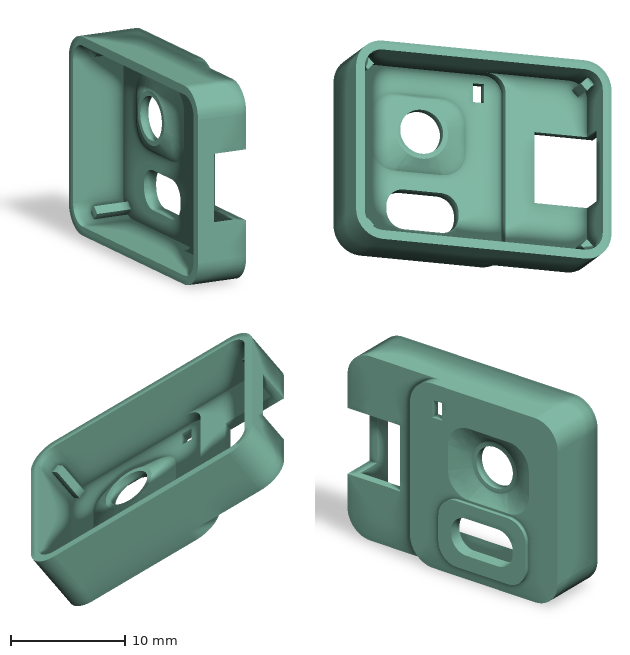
import cadquery as cq

width = 23.75
height = 18.0
wall = 0.8
corner_radius = 2.5
shallow_depth = 4.8
step = 1.0
deep_depth = shallow_depth + step
bay_width = 16.15
cavity_radius = corner_radius - wall
shallow_floor = shallow_depth - wall
deep_floor = deep_depth - wall

lens_x, lens_z = -4.3, 2.28
lens_width, lens_height = 8.84, 6.98
lens_corner = 2.23
lens_rise = 0.9
rim_radius = 2.45
lens_hole_radius = 2.0

slot_x, slot_z = -3.9, -4.65
slot_width, slot_height = 6.72, 3.6
slot_corner = 1.65
pad_margin = 1.42
pad_corner = 2.0
pad_height = 0.4

opening_x, opening_z = 1.3, 6.55
opening_width, opening_height = 1.05, 1.7

window_left = 6.15
window_height = 6.44
ledge_depth = 1.62

post_width = 0.8
post_length = 1.19
post_inset = 1.55


def rounded_block(size_x, size_z, radius, center_x, center_z, start, end):
    """Block along Y with rounded edges, between two depths."""
    return (
        cq.Workplane("XY")
        .box(size_x, end - start, size_z)
        .edges("|Y")
        .fillet(radius)
        .translate((center_x, (start + end) / 2, center_z))
    )


def plain_block(size_x, size_z, center_x, center_z, start, end):
    """Square-edged block along Y, between two depths."""
    return (
        cq.Workplane("XY")
        .box(size_x, end - start, size_z)
        .translate((center_x, (start + end) / 2, center_z))
    )


def lens_taper(base_depth):
    """Solid taper whose wide base lies at base_depth and whose rim points to the front."""
    return (
        cq.Workplane("XZ", origin=(lens_x, base_depth, lens_z))
        .placeSketch(
            cq.Sketch().rect(lens_width, lens_height).vertices().fillet(lens_corner),
            cq.Sketch().circle(rim_radius).moved(cq.Location(cq.Vector(0, 0, lens_rise))),
        )
        .loft()
    )


def shell():
    """Rounded tray with a deeper bay on the left."""
    bay_x = (bay_width - width) / 2
    outer = rounded_block(width, height, corner_radius, 0, 0, 0, shallow_depth).union(
        rounded_block(bay_width, height, corner_radius, bay_x, 0, 0, deep_depth)
    )
    inner_width = width - 2 * wall
    inner_height = height - 2 * wall
    cavity = rounded_block(inner_width, inner_height, cavity_radius, 0, 0, 0, shallow_floor)
    bay = rounded_block(bay_width - 2 * wall, inner_height, cavity_radius, bay_x, 0, 0, deep_floor)
    return outer.cut(cavity).cut(bay)


def add_posts(body):
    """Four posts from the back wall, sunk partly into the rounded corners."""
    for side_x, floor in ((-1, deep_floor), (1, shallow_floor)):
        for side_z in (-1, 1):
            post = (
                plain_block(post_length, post_width, 0, 0, ledge_depth, floor)
                .rotate((0, 0, 0), (0, 1, 0), -45 * side_x * side_z)
                .translate((side_x * (width / 2 - post_inset), 0, side_z * (height / 2 - post_inset)))
            )
            body = body.union(post)
    return body


def add_lens_mount(body):
    """Tapered mount of even wall, hollow from the back, with a round through hole."""
    hole = (
        cq.Workplane("XZ", origin=(lens_x, deep_depth, lens_z))
        .circle(lens_hole_radius)
        .extrude(deep_depth)
    )
    return body.union(lens_taper(deep_floor)).cut(lens_taper(deep_depth)).cut(hole)


def add_slot(body):
    """Raised pad on the back with a rounded slot through it."""
    back = deep_depth + pad_height
    pad = rounded_block(
        slot_width + 2 * pad_margin,
        slot_height + 2 * pad_margin,
        pad_corner,
        slot_x,
        slot_z,
        deep_depth,
        back,
    )
    slot = rounded_block(slot_width, slot_height, slot_corner, slot_x, slot_z, deep_floor, back)
    return body.union(pad).cut(slot)


def cut_openings(body):
    """Small rectangular opening and the side window."""
    opening = plain_block(
        opening_width, opening_height, opening_x, opening_z, deep_floor, deep_depth
    )
    window_width = width / 2 - window_left
    window = plain_block(
        window_width, window_height, window_left + window_width / 2, 0, ledge_depth, shallow_depth
    )
    return body.cut(opening).cut(window)


result = cut_openings(add_slot(add_lens_mount(add_posts(shell()))))